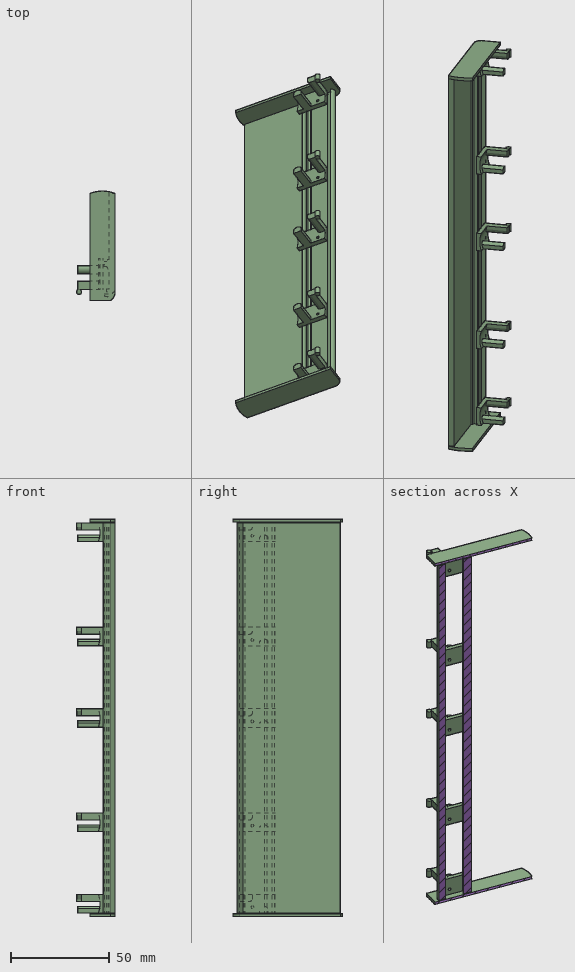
import cadquery as cq

LENGTH = 202.5
CAP_THICKNESS = 1.6
END_GAP = 0.2
CAP_WIDTH = 12.8
CAP_DEPTH = 55.9
CAP_REAR_RISE = 1.2
CAP_CORNER_WIDTH = 2.5
CAP_CORNER_DEPTH = 3.2
CAP_CORNER_BULGE = 0.5

PANEL_THICKNESS = 3.0
PANEL_REAR_Y = 54.6
RAIL_HEIGHT = 6.0
SHOULDER_INNER_HEIGHT = 4.3
SHOULDER_OUTER_HEIGHT = 3.6
FRONT_CHAMFER = 2.5
FRONT_Y = 2.6
BEAD_INNER_Y = 3.5
BEAD_BULGE = 1.0
GROOVE_DEPTH = 0.6
FRONT_RAIL_CREST_Y = 5.3
FRONT_SHOULDER_SAG = 0.2
FRONT_RAIL_WALL_Y = 6.0
REAR_RAIL_FRONT_Y = 16.2
REAR_RAIL_REAR_Y = 21.0
REAR_GROOVE_FRONT_Y = 17.5
REAR_GROOVE_REAR_Y = 19.8

BRACKET_HEIGHT = 9.5
BRACKET_TIP_X = -19.0
REACH = -RAIL_HEIGHT - BRACKET_TIP_X
PLATE_FRONT_Y = 5.7
PLATE_REAR_Y = 21.5
PLATE_EDGE_THICKNESS = 2.5
PLATE_MIDDLE_THICKNESS = 1.6
ARM_WIDTH = 4.3
ARM_HEIGHT = 3.6
ARM_CORNER_RADIUS = 1.6
BEAD_DIAMETER = 2.6
BEAD_TIP_X = -19.6
BEAD_Y = 4.5
PEG_WIDTH = 4.3
PEG_HEIGHT = 3.5
PEG_ARCH_RISE = 1.2
PEG_Y = 15.8
HOLE_DIAMETER = 1.4
HOLE_Y = 10.0
HOLE_Z = 3.0

LONG_PITCH = 53.0
SHORT_PITCH = 41.5


def make_cap(bottom_z):
    """Flat end plate with a bowed rear edge and one bowed front corner."""
    side_rear_y = CAP_DEPTH - CAP_REAR_RISE
    return (
        cq.Workplane("XY", origin=(0, 0, bottom_z))
        .moveTo(-CAP_WIDTH, 0)
        .lineTo(-CAP_CORNER_WIDTH, 0)
        .sagittaArc((0, CAP_CORNER_DEPTH), -CAP_CORNER_BULGE)
        .lineTo(0, side_rear_y)
        .threePointArc((-CAP_WIDTH / 2, CAP_DEPTH), (-CAP_WIDTH, side_rear_y))
        .close()
        .extrude(CAP_THICKNESS)
    )


def make_panel():
    """Flat panel with a rounded front lip, a stepped front rail and a grooved rear rail on its -X side."""
    bead_middle = (-(RAIL_HEIGHT + FRONT_CHAMFER) / 2, (FRONT_Y + BEAD_INNER_Y) / 2 - BEAD_BULGE)
    rear_groove_middle = (GROOVE_DEPTH - RAIL_HEIGHT, (REAR_GROOVE_FRONT_Y + REAR_GROOVE_REAR_Y) / 2)
    return (
        cq.Workplane("XY", origin=(0, 0, CAP_THICKNESS + END_GAP))
        .moveTo(0, PANEL_REAR_Y)
        .lineTo(0, FRONT_Y + FRONT_CHAMFER)
        .lineTo(-FRONT_CHAMFER, FRONT_Y)
        .threePointArc(bead_middle, (-RAIL_HEIGHT, BEAD_INNER_Y))
        .lineTo(-SHOULDER_OUTER_HEIGHT, BEAD_INNER_Y)
        .sagittaArc((-SHOULDER_INNER_HEIGHT, FRONT_RAIL_CREST_Y), FRONT_SHOULDER_SAG)
        .lineTo(-SHOULDER_INNER_HEIGHT, FRONT_RAIL_WALL_Y)
        .lineTo(-PANEL_THICKNESS, FRONT_RAIL_WALL_Y)
        .lineTo(-PANEL_THICKNESS, REAR_RAIL_FRONT_Y)
        .lineTo(-SHOULDER_OUTER_HEIGHT, REAR_RAIL_FRONT_Y)
        .lineTo(-SHOULDER_INNER_HEIGHT, REAR_GROOVE_FRONT_Y)
        .lineTo(-RAIL_HEIGHT, REAR_GROOVE_FRONT_Y)
        .threePointArc(rear_groove_middle, (-RAIL_HEIGHT, REAR_GROOVE_REAR_Y))
        .lineTo(-SHOULDER_INNER_HEIGHT, REAR_GROOVE_REAR_Y)
        .lineTo(-SHOULDER_OUTER_HEIGHT, REAR_RAIL_REAR_Y)
        .lineTo(-PANEL_THICKNESS, REAR_RAIL_REAR_Y)
        .lineTo(-PANEL_THICKNESS, PANEL_REAR_Y)
        .close()
        .extrude(LENGTH - 2 * (CAP_THICKNESS + END_GAP))
    )


def make_plate():
    """Bracket base whose -X face is hollowed by a shallow arc."""
    edge_x = -RAIL_HEIGHT - PLATE_EDGE_THICKNESS
    middle_x = -RAIL_HEIGHT - PLATE_MIDDLE_THICKNESS
    return (
        cq.Workplane("XZ", origin=(0, PLATE_REAR_Y, 0))
        .moveTo(-RAIL_HEIGHT, 0)
        .lineTo(-RAIL_HEIGHT, BRACKET_HEIGHT)
        .lineTo(edge_x, BRACKET_HEIGHT)
        .threePointArc((middle_x, BRACKET_HEIGHT / 2), (edge_x, 0))
        .close()
        .extrude(PLATE_REAR_Y - PLATE_FRONT_Y)
    )


def make_arm():
    """Square arm along the top of the bracket, with a round bead on the front of its tip."""
    arm_bottom = BRACKET_HEIGHT - ARM_HEIGHT
    arm = (
        cq.Workplane("XY")
        .box(REACH, ARM_WIDTH, ARM_HEIGHT, centered=False)
        .edges("|X and >Y and <Z")
        .fillet(ARM_CORNER_RADIUS)
        .translate((BRACKET_TIP_X, PLATE_FRONT_Y, arm_bottom))
    )
    bead = (
        cq.Workplane("XY", origin=(BEAD_TIP_X + BEAD_DIAMETER / 2, BEAD_Y, arm_bottom))
        .circle(BEAD_DIAMETER / 2)
        .extrude(ARM_HEIGHT)
    )
    return arm.union(bead)


def make_peg():
    """Arched peg along the bottom of the bracket."""
    left_y = PEG_Y - PEG_WIDTH / 2
    right_y = PEG_Y + PEG_WIDTH / 2
    arch_z = PEG_HEIGHT - PEG_ARCH_RISE
    return (
        cq.Workplane("YZ", origin=(BRACKET_TIP_X, 0, 0))
        .moveTo(left_y, 0)
        .lineTo(right_y, 0)
        .lineTo(right_y, arch_z)
        .threePointArc((PEG_Y, PEG_HEIGHT), (left_y, arch_z))
        .close()
        .extrude(REACH)
    )


def make_bracket(bottom_z):
    """One bracket: base plate, arm and peg, with a small hole through the plate."""
    hole = (
        cq.Workplane("YZ", origin=(-RAIL_HEIGHT, HOLE_Y, HOLE_Z))
        .circle(HOLE_DIAMETER / 2)
        .extrude(-PLATE_EDGE_THICKNESS)
    )
    bracket = make_plate().union(make_arm()).union(make_peg()).cut(hole)
    return bracket.translate((0, 0, bottom_z))


lower_cap = make_cap(0)
upper_cap = make_cap(LENGTH - CAP_THICKNESS)
panel = make_panel()

bracket_z = CAP_THICKNESS + END_GAP
brackets = [make_bracket(bracket_z)]
for pitch in (SHORT_PITCH, LONG_PITCH, SHORT_PITCH, LONG_PITCH):
    bracket_z += pitch
    brackets.append(make_bracket(bracket_z))

result = cq.Compound.makeCompound(
    [lower_cap.val(), upper_cap.val(), panel.val(), *[bracket.val() for bracket in brackets]]
)